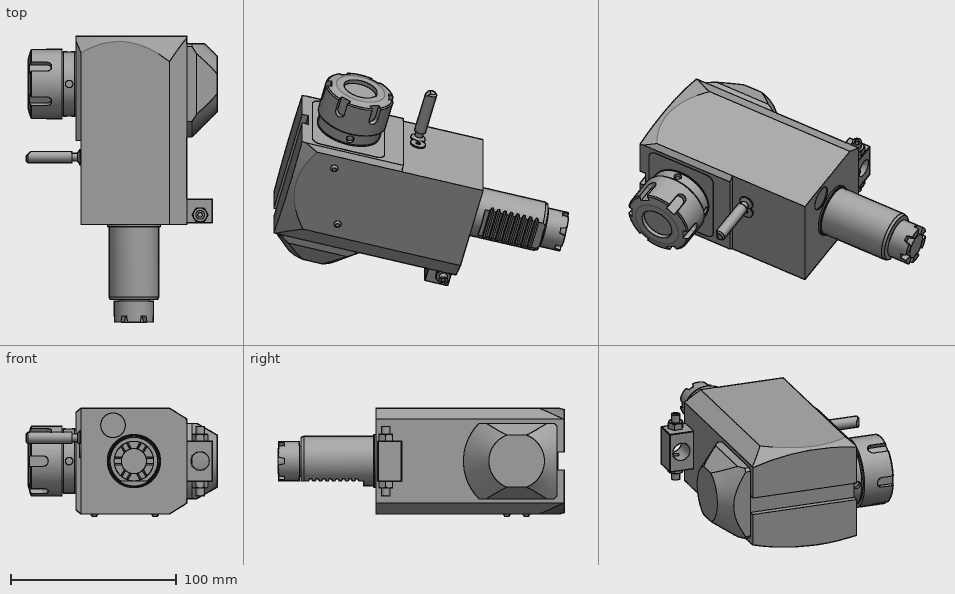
import cadquery as cq
import math


housing_half_width = 32.0
housing_half_height = 32.0
housing_length = 113.8
side_bevel_start_x = 21.5
side_bevel_end_z = 25.5
pad_face_x = -35.1
pad_start_y = 50.7
pad_bevel_end_z = 29.4
crown_radius = 148.8
crown_axis_x = -9.0
crown_back_height = 31.1
crown_tilt = 15.0
notch_width = 10.7
notch_depth = 3.8
cover_length = 45.0
cover_height = 53.3
cover_corner_radius = 5.0
cover_recess = 0.2
plug_x = -12.6
plug_z = 21.6
plug_radius = 7.5
plug_recess = 0.7

chuck_y = 85.0
chuck_neck_radius = 19.4
collar_back_x = -35.8
collar_front_x = -42.4
collar_radius = 19.5
gap_radius = 19.0
nut_back_x = -43.5
nut_rim_x = -61.8
nut_cone_x = -62.5
nut_face_x = -63.8
nut_radius = 21.1
nut_cone_radius = 20.2
nut_face_radius = 15.0
bore_radius = 10.4
bore_depth = 2.6
nut_slot_count = 6
nut_slot_width = 6.2
nut_slot_floor_radius = 17.8
nut_slot_end_x = -51.7
nut_long_slot_end_x = -49.7
collar_hole_count = 4
collar_hole_radius = 2.2
collar_hole_depth = 2.6

cap_radius = 32.2
cap_rim_x = 35.0
cap_face_x = 50.3
cap_face_radius = 16.8
cap_back_y = 109.3
cap_half_height = 22.8
cap_bevel_start_x = 37.9
cap_face_half_height = 15.7

shank_collar_radius = 16.1
shank_collar_length = 1.5
shank_collar_chamfer = 0.5
shank_radius = 15.0
shank_length = 45.3
shank_chamfer_length = 1.7
shank_chamfer_depth = 0.7
shank_neck_radius = 9.2
coupling_start = 46.2
coupling_end = 58.8
coupling_radius = 12.0
hub_radius = 7.6
hub_end = 59.2
drive_slot_count = 6
drive_slot_floor_width = 3.1
drive_slot_mouth_width = 4.8
drive_slot_depth = 3.6
flat_depth_z = 12.1
flat_start = 7.5
groove_count = 8
groove_pitch = 4.0
groove_first = 11.6
groove_depth = 1.4
groove_mouth = 2.8
groove_floor = 1.0

lever_y = 40.8
lever_z = 14.0
lever_flange_x = -32.7
lever_flange_radius = 4.5
lever_neck_start_x = -34.0
lever_neck_radius = 2.5
lever_rod_start_x = -37.5
lever_rod_radius = 3.5
lever_tip_x = -65.0
lever_tip_chamfer = 1.0
lever_tip_flat = 2.8
disc_z = 7.0
disc_radius = 4.7
disc_height = 0.9
disc_hole_radius = 1.4

bracket_face_x = 47.5
bracket_start_y = 1.0
bracket_end_y = 15.5
bracket_half_height = 12.3
bracket_chamfer = 0.3
bracket_hole_radius = 5.5
screw_x = 40.0
screw_y = 5.9
screw_radius = 2.6
screw_end_z = 21.0
screw_socket_width = 3.1
screw_socket_depth = 1.4
screw_bore_radius = 2.0
screw_bore_end_z = 8.6
hex_corner_diameter = 9.7
hex_height = 4.0
hex_chamfer = 0.7

stud_positions = [(-23.9, 90.8), (12.8, 79.0)]
stud_radius = 2.2
stud_tip_radius = 1.2
stud_height = 1.5

overlap = 1.7


def cylinder(radius, start, direction, length):
    return cq.Workplane(cq.Solid.makeCylinder(radius, length, cq.Vector(*start), cq.Vector(*direction)))


def turned_along_x(profile, axis_y, axis_z):
    """Revolve (x, radius) stations about an axis parallel to X."""
    outline = [(profile[0][0], 0)] + profile + [(profile[-1][0], 0)]
    solid = cq.Workplane("XY").polyline(outline).close().revolve(360, (0, 0, 0), (1, 0, 0))
    return solid.translate((0, axis_y, axis_z))


def beveled_block(outline, start_y, end_y):
    """Extrude an (x, z) outline from start_y to end_y."""
    block = cq.Workplane("XZ").polyline(outline).close().extrude(start_y - end_y)
    return block.translate((0, start_y, 0))


def make_housing():
    left, right, top = -housing_half_width, housing_half_width, housing_half_height
    housing = beveled_block(
        [
            (left, -top),
            (side_bevel_start_x, -top),
            (right, -side_bevel_end_z),
            (right, side_bevel_end_z),
            (side_bevel_start_x, top),
            (left, top),
        ],
        0,
        housing_length,
    )
    pad = beveled_block(
        [
            (left, -top),
            (left, top),
            (pad_face_x, pad_bevel_end_z),
            (pad_face_x, -pad_bevel_end_z),
        ],
        pad_start_y,
        housing_length,
    )
    return crown_ends(housing.union(pad))


def crown_ends(housing):
    """Slope the top and bottom toward the back with tilted cylinders."""
    tilt = math.radians(crown_tilt)
    reach = 2 * housing_length
    for side in (1, -1):
        axis_z = side * (crown_back_height - crown_radius / math.cos(tilt))
        direction = cq.Vector(0, -math.cos(tilt), side * math.sin(tilt))
        back_point = cq.Vector(crown_axis_x, housing_length, axis_z)
        crown = cq.Solid.makeCylinder(crown_radius, 2 * reach, back_point - direction * reach, direction)
        housing = housing.intersect(cq.Workplane(crown))
    return housing


def cut_housing_details(housing):
    notch = cq.Workplane("XY").box(4 * housing_half_width, 2 * notch_depth, notch_width)
    cover = (
        cq.Workplane("XY")
        .box(2 * cover_recess, cover_length, cover_height)
        .edges("|X")
        .fillet(cover_corner_radius)
        .translate((pad_face_x, chuck_y, 0))
    )
    plug = cylinder(plug_radius, (plug_x, 0, plug_z), (0, 1, 0), plug_recess)
    return housing.cut(notch.translate((0, housing_length, 0))).cut(cover).cut(plug)


def make_nut_slot(end_x):
    """Cutter for one wrench slot on top of the nut, rounded at end_x."""
    round_x = end_x - nut_slot_width / 2
    length = round_x - nut_face_x + overlap
    slot = (
        cq.Workplane("XY")
        .box(length, nut_slot_width, nut_radius, centered=(False, True, False))
        .translate((round_x - length, 0, nut_slot_floor_radius))
    )
    round_end = cylinder(nut_slot_width / 2, (round_x, 0, nut_slot_floor_radius), (0, 0, 1), nut_radius)
    return slot.union(round_end)


def make_chuck():
    chuck = turned_along_x(
        [
            (pad_face_x + overlap, chuck_neck_radius),
            (collar_back_x, chuck_neck_radius),
            (collar_back_x, collar_radius),
            (collar_front_x, collar_radius),
            (collar_front_x, gap_radius),
            (nut_back_x, gap_radius),
            (nut_back_x, nut_radius),
            (nut_rim_x, nut_radius),
            (nut_cone_x, nut_cone_radius),
            (nut_face_x, nut_face_radius),
        ],
        0,
        0,
    )
    chuck = chuck.cut(cylinder(bore_radius, (nut_face_x, 0, 0), (1, 0, 0), bore_depth))

    for i in range(nut_slot_count):
        angle = 90 + i * 360 / nut_slot_count
        faces_up = math.cos(math.radians(angle)) > 0.5
        slot = make_nut_slot(nut_long_slot_end_x if faces_up else nut_slot_end_x)
        chuck = chuck.cut(slot.rotate((0, 0, 0), (1, 0, 0), angle))

    hole_x = (collar_back_x + collar_front_x) / 2
    hole_start = (hole_x, 0, collar_radius - collar_hole_depth)
    hole = cylinder(collar_hole_radius, hole_start, (0, 0, 1), 2 * collar_hole_depth)
    for i in range(collar_hole_count):
        chuck = chuck.cut(hole.rotate((0, 0, 0), (1, 0, 0), i * 360 / collar_hole_count))
    return chuck.translate((0, chuck_y, 0))


def make_cap():
    start_x = housing_half_width - overlap
    cone = turned_along_x(
        [
            (start_x, cap_radius),
            (cap_rim_x, cap_radius),
            (cap_face_x, cap_face_radius),
        ],
        chuck_y,
        0,
    )
    envelope = beveled_block(
        [
            (start_x, -cap_half_height),
            (cap_bevel_start_x, -cap_half_height),
            (cap_face_x, -cap_face_half_height),
            (cap_face_x, cap_face_half_height),
            (cap_bevel_start_x, cap_half_height),
            (start_x, cap_half_height),
        ],
        chuck_y - cap_radius,
        cap_back_y,
    )
    return cone.intersect(envelope)


def make_shank():
    profile = [
        (0, -overlap),
        (shank_collar_radius, -overlap),
        (shank_collar_radius, shank_collar_length - shank_collar_chamfer),
        (shank_collar_radius - shank_collar_chamfer, shank_collar_length),
        (shank_radius, shank_collar_length),
        (shank_radius, shank_length - shank_chamfer_length),
        (shank_radius - shank_chamfer_depth, shank_length),
        (shank_neck_radius, shank_length),
        (shank_neck_radius, coupling_start),
        (coupling_radius, coupling_start),
        (coupling_radius, coupling_end),
        (0, coupling_end),
    ]
    outline = [(radius, -distance) for radius, distance in profile]
    shank = cq.Workplane("XY").polyline(outline).close().revolve(360, (0, 0, 0), (0, 1, 0))
    return cut_drive_slots(cut_serrations(shank))


def cut_serrations(shank):
    flat = cq.Workplane("XY").box(
        2 * shank_radius, shank_length - flat_start, shank_radius, centered=(True, False, False)
    )
    shank = shank.cut(flat.translate((0, -shank_length, -flat_depth_z - shank_radius)))
    groove = (
        cq.Workplane("YZ")
        .polyline(
            [
                (-groove_mouth / 2, -flat_depth_z),
                (groove_mouth / 2, -flat_depth_z),
                (groove_floor / 2, -flat_depth_z + groove_depth),
                (-groove_floor / 2, -flat_depth_z + groove_depth),
            ]
        )
        .close()
        .extrude(shank_radius, both=True)
    )
    for i in range(groove_count):
        shank = shank.cut(groove.translate((0, -groove_first - i * groove_pitch, 0)))
    return shank


def cut_drive_slots(shank):
    """Cut tapered radial slots in the coupling end, leaving the round hub."""
    floor_y = drive_slot_depth - coupling_end
    slot = (
        cq.Workplane("XY")
        .polyline(
            [
                (-drive_slot_floor_width / 2, floor_y),
                (drive_slot_floor_width / 2, floor_y),
                (drive_slot_mouth_width / 2, -coupling_end),
                (-drive_slot_mouth_width / 2, -coupling_end),
            ]
        )
        .close()
        .extrude(2 * coupling_radius)
    )
    for i in range(drive_slot_count):
        angle = 90 + i * 360 / drive_slot_count
        shank = shank.cut(slot.rotate((0, 0, 0), (0, 1, 0), angle))
    hub_length = hub_end - coupling_start
    return shank.union(cylinder(hub_radius, (0, -hub_end, 0), (0, 1, 0), hub_length))


def make_lever():
    lever = turned_along_x(
        [
            (-housing_half_width + overlap, lever_flange_radius),
            (lever_flange_x, lever_flange_radius),
            (lever_neck_start_x, lever_neck_radius),
            (lever_rod_start_x, lever_neck_radius),
            (lever_rod_start_x, lever_rod_radius),
            (lever_tip_x + lever_tip_chamfer, lever_rod_radius),
            (lever_tip_x, lever_rod_radius - lever_tip_chamfer),
        ],
        lever_y,
        lever_z,
    )
    edge_y = lever_y + lever_rod_radius
    tip_flat = (
        cq.Workplane("XY")
        .polyline(
            [
                (lever_tip_x, edge_y - lever_tip_flat),
                (lever_tip_x, edge_y),
                (lever_tip_x + lever_tip_flat, edge_y),
            ]
        )
        .close()
        .extrude(lever_rod_radius, both=True)
        .translate((0, 0, lever_z))
    )
    return lever.cut(tip_flat)


def make_disc():
    face_x = -housing_half_width - disc_height
    disc = cylinder(disc_radius, (face_x, lever_y, disc_z), (1, 0, 0), disc_height + overlap)
    return disc.cut(cylinder(disc_hole_radius, (face_x, lever_y, disc_z), (1, 0, 0), disc_height))


def make_bracket():
    start_x = housing_half_width - overlap
    length_y = bracket_end_y - bracket_start_y
    bracket = (
        cq.Workplane("XY")
        .box(bracket_face_x - start_x, length_y, 2 * bracket_half_height, centered=(False, False, True))
        .edges()
        .chamfer(bracket_chamfer)
        .translate((start_x, bracket_start_y, 0))
    )
    bracket = bracket.cut(
        cylinder(bracket_hole_radius, (screw_x, bracket_start_y, 0), (0, 1, 0), length_y)
    )
    screw_bore = cylinder(
        screw_bore_radius, (screw_x, screw_y, -screw_bore_end_z), (0, 0, 1), 2 * screw_bore_end_z
    )
    upper_screw = make_screw()
    return bracket.cut(screw_bore).union(upper_screw).union(upper_screw.mirror("XY"))


def make_screw():
    """Upper adjusting screw with its lock nut, standing on the bracket."""
    nut_round = cq.Workplane("XY").circle(hex_corner_diameter / 2).extrude(hex_height)
    nut = (
        cq.Workplane("XY")
        .polygon(6, hex_corner_diameter)
        .extrude(hex_height)
        .intersect(nut_round.faces(">Z").chamfer(hex_chamfer))
        .translate((0, 0, bracket_half_height))
    )
    stem_start_z = bracket_half_height - overlap
    stem = (
        cq.Workplane("XY")
        .workplane(offset=stem_start_z)
        .circle(screw_radius)
        .extrude(screw_end_z - stem_start_z)
        .faces(">Z")
        .workplane()
        .polygon(6, screw_socket_width)
        .cutBlind(-screw_socket_depth)
    )
    return nut.union(stem).translate((screw_x, screw_y, 0))


def make_stud(x, y):
    base_z = -housing_half_height
    cone = cq.Solid.makeCone(
        stud_radius, stud_tip_radius, stud_height, cq.Vector(x, y, base_z), cq.Vector(0, 0, -1)
    )
    root = cylinder(stud_radius, (x, y, base_z), (0, 0, 1), overlap)
    return root.union(cq.Workplane(cone))


result = cut_housing_details(make_housing())
for piece in (make_chuck(), make_cap(), make_shank(), make_lever(), make_disc(), make_bracket()):
    result = result.union(piece)
for stud_x, stud_y in stud_positions:
    result = result.union(make_stud(stud_x, stud_y))